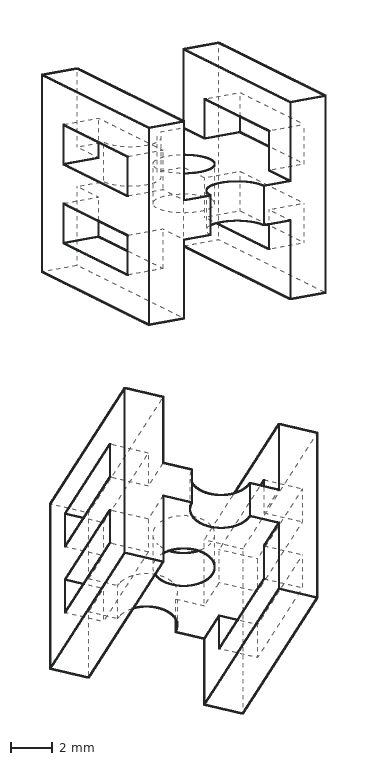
import cadquery as cq

side = 10.0
wall = 2.0
hole_diameter = 3.0

web_span = side - 2 * wall
window_width = side - 2 * wall
window_height = (side - 3 * wall) / 2
window_offset = (wall + window_height) / 2


def end_plates():
    """Two square plates facing each other along Y."""
    plate_offset = (side - wall) / 2
    return (
        cq.Workplane("XY")
        .pushPoints([(0, -plate_offset), (0, plate_offset)])
        .box(side, wall, side)
    )


def web():
    """Horizontal web joining the plates at mid height."""
    return cq.Workplane("XY").box(side, web_span, wall)


def windows():
    """Cutters for the windows above and below the web, through both plates."""
    return (
        cq.Workplane("XZ")
        .pushPoints([(0, -window_offset), (0, window_offset)])
        .rect(window_width, window_height)
        .extrude(side / 2, both=True)
    )


def web_holes():
    """Cutters for the centre hole and the half-round notches at the web edges."""
    return (
        cq.Workplane("XY")
        .pushPoints([(-side / 2, 0), (0, 0), (side / 2, 0)])
        .circle(hole_diameter / 2)
        .extrude(wall / 2, both=True)
    )


result = end_plates().union(web()).cut(windows()).cut(web_holes())